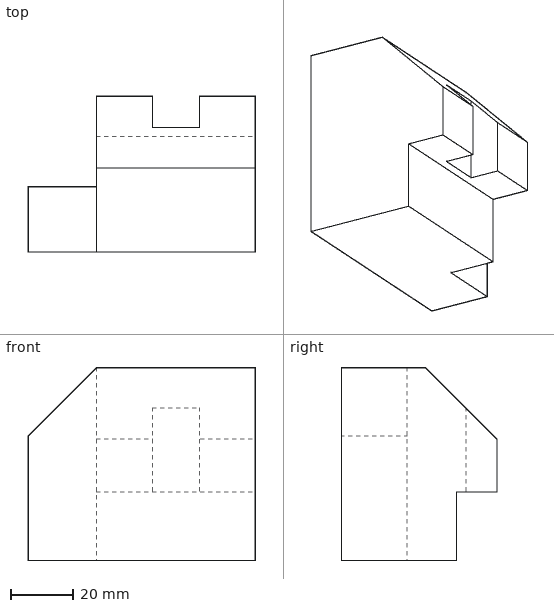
import cadquery as cq

length = 73.0
depth = 50.0
height = 62.0

plate_thickness = 21.0
plate_bevel = 22.0

block_inset = 22.0
block_length = length - block_inset
block_bevel = 23.0
undercut_depth = 13.0
undercut_height = 22.0

slot_width = 15.0
slot_depth = 10.0


def make_plate():
    """Front plate, from y = 0 to the plate thickness."""
    plate = cq.Workplane("XY").box(length, plate_thickness, height, centered=False)
    return plate.edges("<X and >Z").chamfer(plate_bevel)


def make_block():
    """Full-depth block with a bevelled back and an undercut below it."""
    profile = [
        (0, 0),
        (depth - undercut_depth, 0),
        (depth - undercut_depth, undercut_height),
        (depth, undercut_height),
        (depth, height - block_bevel),
        (depth - block_bevel, height),
        (0, height),
    ]
    return (
        cq.Workplane("YZ", origin=(block_inset, 0, 0))
        .polyline(profile)
        .close()
        .extrude(block_length)
    )


def make_slot():
    """Cutter for the slot, running through the full height."""
    slot_start = block_inset + (block_length - slot_width) / 2
    return (
        cq.Workplane("XY", origin=(slot_start, depth - slot_depth, 0))
        .box(slot_width, slot_depth, height, centered=False)
    )


result = make_plate().union(make_block()).cut(make_slot())